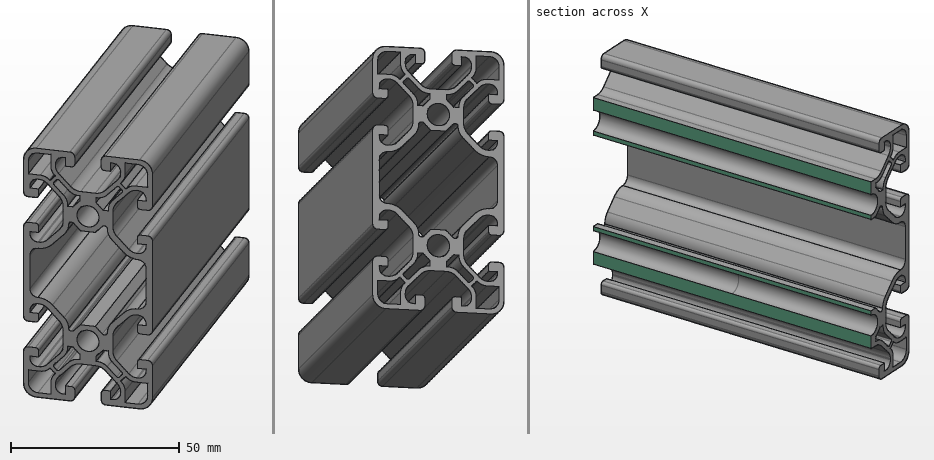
import cadquery as cq
import math

module = 40.0
length = 100.0
half_module = module / 2
outer_corner_radius = 4.0

flange = 2.0
corner_skin = 1.5
spoke_wall = 1.4
central_web = 2.0
bridge_radius = 0.5
bridge = 1.2

slot_opening_half = 4.1
lip_depth = 4.7
lip_half = 7.0
slot_half = 10.1
slot_floor = 7.7
slot_slant = 3.6
floor_bend_radius = 4.4
wall_bend_radius = 3.5
undercut_radius = 2.5
lip_outer_radius = 1.5
lip_inner_radius = 1.0

core_hole_diameter = 6.8
core_slant = 7.2
core_notch = 2.5
core_flat = 4.9
notch_half = 6.0
notch_radius = 0.8

bridge_outer_sum = 21.9
hollow_corner_radius = 3.0
hollow_bend_radius = 4.0
chamber_bend_radius = 4.8
chamber_corner_radius = 2.5


def mirrored(half_outline):
    """Complete a corner list that is symmetric about the vertical axis."""
    return half_outline + [(-u, v, radius) for u, v, radius in reversed(half_outline)]


def rounded_outline(corners):
    """Closed XZ outline through (x, z, radius) corners with tangent arcs."""
    stretches = []
    for i, (x, z, radius) in enumerate(corners):
        corner = cq.Vector(x, z)
        to_previous = (cq.Vector(*corners[i - 1][:2]) - corner).normalized()
        to_next = (cq.Vector(*corners[(i + 1) % len(corners)][:2]) - corner).normalized()
        half_angle = to_previous.getAngle(to_next) / 2
        tangent = radius / math.tan(half_angle)
        to_arc = radius / math.sin(half_angle) - radius
        bisector = (to_previous + to_next).normalized()
        stretches.append((
            corner + to_previous * tangent,
            corner + bisector * to_arc,
            corner + to_next * tangent,
            radius,
        ))

    outline = cq.Workplane("XZ").moveTo(*stretches[0][2].toTuple()[:2])
    for start, middle, end, radius in stretches[1:] + stretches[:1]:
        outline = outline.lineTo(*start.toTuple()[:2])
        if radius > 0:
            outline = outline.threePointArc(middle.toTuple()[:2], end.toTuple()[:2])
    return outline.close()


def prism(corners):
    """Solid of the full profile length with the given XZ outline."""
    return rounded_outline(corners).extrude(length / 2, both=True)


def slot():
    """Undercut slot opening at the top of a module centred on the origin."""
    lip_bottom = half_module - lip_depth
    undercut_top = half_module - flange
    right_half = [
        (slot_floor - slot_slant, slot_floor, floor_bend_radius),
        (slot_half, slot_half + slot_slant, wall_bend_radius),
        (slot_half, undercut_top, undercut_radius),
        (lip_half, undercut_top, 0),
        (lip_half, lip_bottom, 0),
        (slot_opening_half, lip_bottom, lip_inner_radius),
        (slot_opening_half, half_module, lip_outer_radius),
        (lip_half, half_module, 0),
        (lip_half, module, 0),
    ]
    return prism(mirrored(right_half))


def diagonal_symmetric(half_outline, tip=()):
    """Complete a corner list symmetric about the line u = v, with optional tip on that line."""
    return half_outline + list(tip) + [(v, u, radius) for u, v, radius in reversed(half_outline)]


def corner_hollow():
    """Hollow in the +X +Z corner of a module centred on the origin."""
    near = slot_half + spoke_wall
    far = half_module - corner_skin
    slant = slot_slant - spoke_wall * math.sqrt(2)
    bridge_end = (bridge_outer_sum - slant) / 2
    return prism(diagonal_symmetric([
        (bridge_end, bridge_end + slant, 0),
        (near, near + slant, hollow_bend_radius),
        (near, far, 0),
    ], [(far, far, hollow_corner_radius)]))


def spoke_hollow():
    """Hollow between the two walls of the +X +Z spoke."""
    ceiling = slot_floor - spoke_wall
    slant = slot_slant - spoke_wall * math.sqrt(2)
    bridge_end = (bridge_outer_sum - bridge * math.sqrt(2) - slant) / 2
    return prism(diagonal_symmetric([
        (core_notch, core_slant - core_notch, 0),
        (core_notch, ceiling, 0),
        (ceiling - slant, ceiling, floor_bend_radius),
        (bridge_end, bridge_end + slant, bridge_radius),
    ]))


def central_chamber():
    """Large chamber between the two modules, centred on the origin."""
    slant = slot_slant - central_web * math.sqrt(2)
    web_reach = slot_half + central_web
    upper_right = [
        (core_slant - core_flat, half_module - core_flat, 0),
        (core_slant - core_notch, half_module - core_notch, notch_radius),
        (notch_half, half_module - core_notch, notch_radius),
        (notch_half, half_module - notch_half + slant, chamber_bend_radius),
        (web_reach + slant, half_module - web_reach, floor_bend_radius + central_web),
        (half_module - flange, half_module - web_reach, chamber_corner_radius),
    ]
    lower_right = [(x, -z, radius) for x, z, radius in reversed(upper_right)]
    return prism(mirrored(upper_right + lower_right))


def upper_module_cuts():
    """Slots, hollows and core hole of the upper module, centred on the origin."""
    core_hole = cq.Workplane("XZ").circle(core_hole_diameter / 2).extrude(length / 2, both=True)
    cuts = [core_hole]
    for angle in (-90, 0, 90):
        cuts.append(slot().rotate((0, 0, 0), (0, 1, 0), angle))
    for hollow in (corner_hollow(), spoke_hollow()):
        cuts.append(hollow)
        cuts.append(hollow.mirror("YZ"))
    return cuts


result = (
    cq.Workplane("XY")
    .box(module, length, 2 * module)
    .edges("|Y")
    .fillet(outer_corner_radius)
    .cut(central_chamber())
)
for cut in upper_module_cuts():
    upper_cut = cut.translate((0, 0, half_module))
    result = result.cut(upper_cut).cut(upper_cut.mirror("XY"))